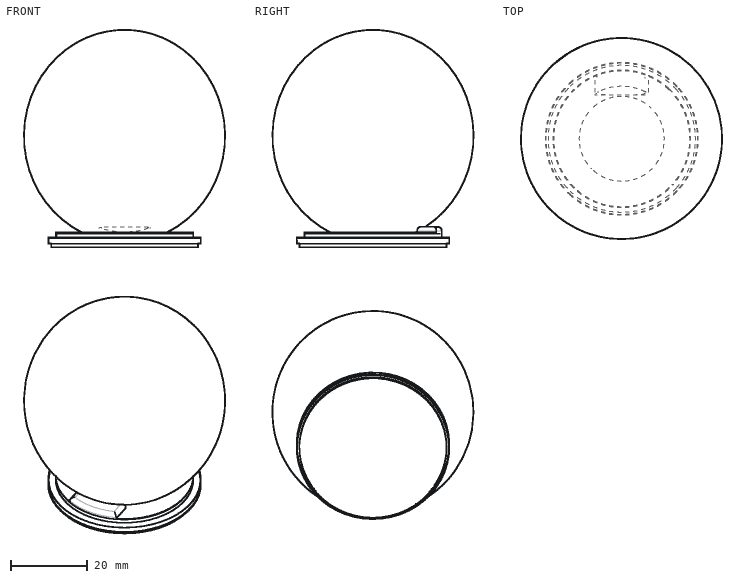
import cadquery as cq
import math

total_height = 56.9
globe_diameter = 52.67
globe_center_z = 29.1

collar_diameter = 36.0
flange_diameter = 40.0
base_plate_diameter = 38.5
base_plate_top_z = 1.0
flange_top_z = 2.6
collar_top_z = 3.9

side_wall = 0.2
flange_roof = 0.2
collar_roof = 0.4

tab_width = 14.0
tab_inner_y = 11.5
tab_top_z = 5.4
tab_edge_radius = 1.1

globe_radius = globe_diameter / 2
globe_half_height = total_height - globe_center_z
collar_radius = collar_diameter / 2
tab_corner_y = math.sqrt(collar_radius**2 - (tab_width / 2) ** 2)
lower_plug_diameter = flange_diameter - 2 * side_wall
upper_plug_diameter = collar_diameter - 2 * side_wall
lower_plug_top_z = flange_top_z - flange_roof
upper_plug_top_z = collar_top_z - collar_roof


def disc(diameter, bottom_z, top_z):
    """Upright round disc centred on the Z axis."""
    return (
        cq.Workplane("XY")
        .workplane(offset=bottom_z)
        .circle(diameter / 2)
        .extrude(top_z - bottom_z)
    )


def make_ball():
    """Ellipsoid of revolution, cut flat at the top of the collar."""
    ellipsoid = (
        cq.Workplane("XZ", origin=(0, 0, globe_center_z))
        .moveTo(0, -globe_half_height)
        .ellipseArc(globe_radius, globe_half_height, -90, 90, startAtCurrent=True)
        .close()
        .revolve(360, (0, 0, 0), (0, 1, 0))
    )
    return ellipsoid.intersect(disc(2 * globe_diameter, collar_top_z, 2 * total_height))


def make_tab():
    """Pad with rounded top edges; its outer end continues the round collar wall."""
    half_width = tab_width / 2
    pad = (
        cq.Workplane("XY")
        .workplane(offset=collar_top_z)
        .moveTo(-half_width, tab_inner_y)
        .lineTo(half_width, tab_inner_y)
        .lineTo(half_width, tab_corner_y)
        .threePointArc((0, collar_radius), (-half_width, tab_corner_y))
        .close()
        .extrude(tab_top_z - collar_top_z)
    )
    return pad.faces(">Z").edges().fillet(tab_edge_radius)


def make_plug():
    """Stepped plug that fills the recess in the globe's foot."""
    lower_step = disc(lower_plug_diameter, base_plate_top_z, lower_plug_top_z)
    upper_step = disc(upper_plug_diameter, lower_plug_top_z, upper_plug_top_z)
    return lower_step.union(upper_step)


def make_globe():
    """Ball, collar, flange and tab in one piece, with a stepped recess from below."""
    flange = disc(flange_diameter, base_plate_top_z, flange_top_z)
    collar = disc(collar_diameter, flange_top_z, collar_top_z)
    foot = flange.union(collar).cut(make_plug())
    return foot.union(make_tab()).union(make_ball())


def make_base():
    """Round plate with the plug standing on it."""
    return disc(base_plate_diameter, 0, base_plate_top_z).union(make_plug())


globe = make_globe()
base = make_base()

result = cq.Compound.makeCompound([globe.val(), base.val()])